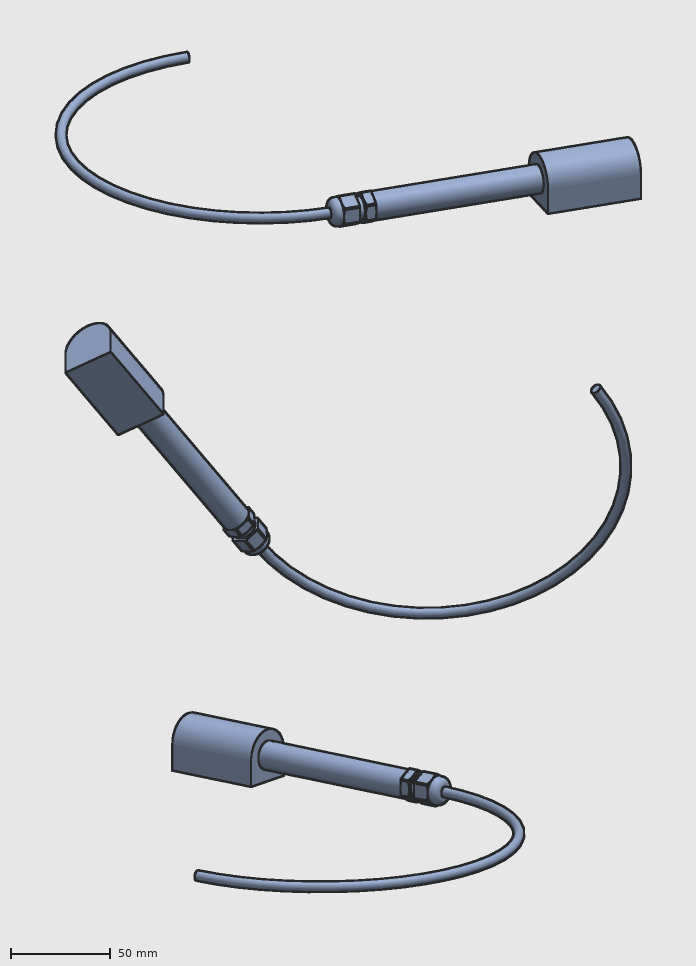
import cadquery as cq
import math

block_width = 26.9
block_depth_below_axis = 13.7
block_length = 50.0
tube_diameter = 15.0
tube_end = 140.0
base_hex_end = 145.5
neck_end = 148.8
cap_hex_end = 157.5
gland_end = 162.5
neck_diameter = 12.0
hex_flats = 15.0
hex_rounding_diameter = 16.9
hex_chamfer = 0.5
dome_radius = 3.7
cable_diameter = 5.5
cable_bend_radius = 99.8
overall_length = 263.3

hex_corners = hex_flats / math.cos(math.pi / 6)
cable_start = overall_length - cable_bend_radius - cable_diameter / 2


def section_at(distance):
    """Workplane across the long axis, facing -Y, at a distance from the rear face."""
    return cq.Workplane("XZ", origin=(0, -distance, 0))


def cylinder(start, end, diameter):
    return section_at(start).circle(diameter / 2).extrude(end - start)


def chamfered_hexagon(start, end):
    """Hexagonal prism whose corners are blunted by a cylinder and chamfered at the -Y end."""
    prism = (
        section_at(start)
        .transformed(rotate=(0, 0, 90))
        .polygon(6, hex_corners)
        .extrude(end - start)
    )
    chamfer_depth = (hex_rounding_diameter - hex_flats) / 2
    envelope = (
        cylinder(start, end, hex_rounding_diameter)
        .faces("<Y")
        .chamfer(hex_chamfer, chamfer_depth)
    )
    return prism.intersect(envelope)


def make_block():
    """Mounting block with a flat bottom and a half-round top."""
    half_width = block_width / 2
    return (
        section_at(0)
        .moveTo(-half_width, -block_depth_below_axis)
        .lineTo(half_width, -block_depth_below_axis)
        .lineTo(half_width, 0)
        .threePointArc((0, half_width), (-half_width, 0))
        .close()
        .extrude(block_length)
    )


def make_tube():
    return cylinder(block_length, tube_end, tube_diameter)


def make_cable():
    """Round cable bent through a half circle in the XY plane."""
    return (
        section_at(cable_start)
        .circle(cable_diameter / 2)
        .revolve(180, (-cable_bend_radius, 0), (-cable_bend_radius, -1))
    )


def make_gland(cable):
    """Cable gland: base hexagon, round neck and domed cap, with a seat fitting the cable."""
    dome = cylinder(neck_end, gland_end, hex_flats).faces("<Y").edges().fillet(dome_radius)
    gland = (
        chamfered_hexagon(tube_end, base_hex_end)
        .union(cylinder(base_hex_end, neck_end, neck_diameter))
        .union(chamfered_hexagon(neck_end, cap_hex_end))
        .union(dome)
    )
    return gland.cut(cable).solids()


block = make_block()
tube = make_tube()
cable = make_cable()
gland = make_gland(cable)

result = cq.Compound.makeCompound([block.val(), tube.val(), gland.val(), cable.val()])